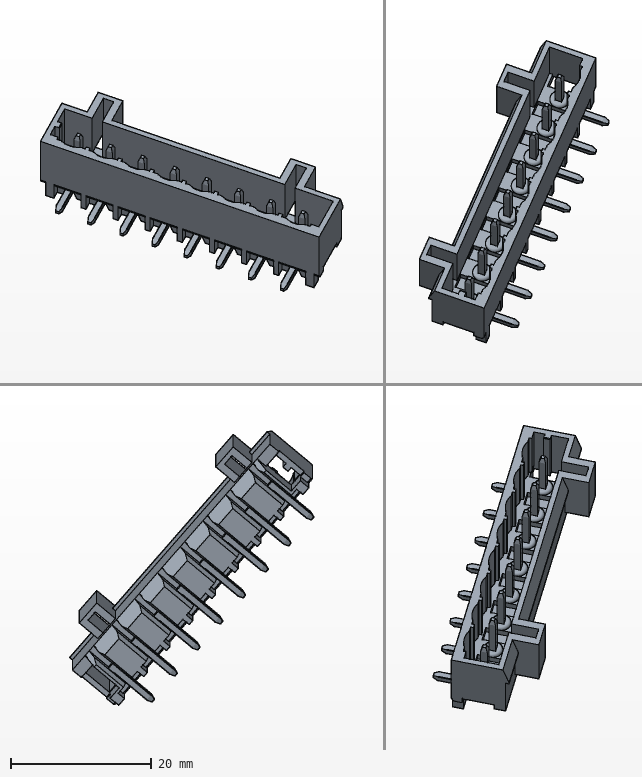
import cadquery as cq


contact_count = 8
pitch = 5.0
last_contact_x = (contact_count - 1) * pitch / 2
contact_xs = [-last_contact_x + i * pitch for i in range(contact_count)]
gap_xs = [x + pitch / 2 for x in contact_xs[:-1]]
contact_y = 3.9

length = 43.4
depth = 8.0
height = 12.0
end_wall = 0.8
end_x = length / 2
inner_end_x = end_x - end_wall

skirt_z = 2.5
bevel_depth = 0.3
bevel_top_z = 3.15
lip_y = 8.5
lip_bottom_z = 9.0
lip_edge_z = 9.3
back_top_y = 7.6
slope_start_y = 6.3

floor_z = 4.0
front_wall = 1.7
relief_wall = 1.3
relief_end_x = last_contact_x + 2.2
divider_width = 0.6
contact_clearance_radius = 3.0
back_wall_inner_y = 6.8

floor_bar_width = 2.8
pocket_length = pitch - floor_bar_width
pocket_front_y = 1.95
pocket_back_y = 6.7
pocket_bottom_z = 3.0
window_front_y = 1.6
window_inner_x = last_contact_x + floor_bar_width / 2
end_notch_z = 3.4

channel_spacing = 6 * pitch
first_channel_x = contact_xs[0] + pitch / 3
channel_xs = [first_channel_x, first_channel_x + channel_spacing]
channel_width = 3.85
channel_slot_width = 1.6
channel_y = 11.5
channel_back_wall = 0.7

recess_width = 4.2
recess_depth = 1.2
flare_width = 1.9
flare_top_z = 1.1

pin_size = 1.0
pin_half = pin_size / 2
tail_z = 2.0
tail_tip_y = -3.6
tail_edge_bevel = 0.08
post_top_z = 11.1
tip_length = 0.8
tip_size = 0.5

collar_diameter = 2.8
collar_height = 0.4

rib_y = 3.8
rib_width = 0.95
rib_projection = 0.7
rib_top_bevel = 0.12


def block(x0, x1, y0, y1, z0, z1):
    size = (x1 - x0, y1 - y0, z1 - z0)
    return cq.Workplane("XY").box(*size, centered=False).translate((x0, y0, z0))


def bar_along_x(yz_outline, x0, x1):
    bar = cq.Workplane("YZ").polyline(yz_outline).close().extrude(x1 - x0)
    return bar.translate((x0, 0, 0))


def make_shell():
    upper = bar_along_x(
        [
            (0, bevel_top_z),
            (bevel_depth, skirt_z),
            (depth, skirt_z),
            (depth, lip_bottom_z),
            (lip_y, lip_bottom_z),
            (lip_y, lip_edge_z),
            (back_top_y, height),
            (0, height),
        ],
        -end_x,
        end_x,
    )
    foot = bar_along_x(
        [(0, 0), (slope_start_y, 0), (depth, skirt_z), (depth, floor_z), (0, floor_z)],
        -inner_end_x,
        inner_end_x,
    )
    shell = upper.union(foot)
    half = channel_width / 2
    for x in channel_xs:
        shell = shell.union(block(x - half, x + half, back_wall_inner_y, channel_y, floor_z, height))
    return shell


def make_cavity():
    cavity = block(-inner_end_x, inner_end_x, front_wall, back_wall_inner_y, floor_z, height)

    relief = block(-relief_end_x, relief_end_x, relief_wall, front_wall, floor_z, height)
    divider_half = divider_width / 2
    for x in gap_xs:
        relief = relief.cut(
            block(x - divider_half, x + divider_half, relief_wall, front_wall, floor_z, height)
        )
    cavity = cavity.union(relief)

    clearance_half = pitch / 2 - divider_width
    for x in contact_xs:
        arc_cut = (
            cq.Workplane("XY", origin=(x, contact_y, floor_z))
            .circle(contact_clearance_radius)
            .extrude(height - floor_z)
        )
        front_part = block(x - clearance_half, x + clearance_half, 0, contact_y, floor_z, height)
        cavity = cavity.union(arc_cut.intersect(front_part))

    slot_half = channel_slot_width / 2
    slot_back_y = channel_y - channel_back_wall
    for x in channel_xs:
        cavity = cavity.union(block(x - slot_half, x + slot_half, contact_y, slot_back_y, floor_z, height))
    return cavity


def make_floor_pocket(x):
    half = pocket_length / 2
    return block(x - half, x + half, pocket_front_y, pocket_back_y, pocket_bottom_z, floor_z)


def make_end_opening(side):
    """Floor window, end wall notch and foot clearance at one end; side is -1 or 1."""
    window = block(window_inner_x, inner_end_x, window_front_y, slope_start_y, 0, floor_z)
    notch = block(window_inner_x, end_x, window_front_y, slope_start_y, 0, end_notch_z)
    foot_clearance = block(window_inner_x, end_x, slope_start_y, depth, 0, skirt_z)
    opening = window.union(notch).union(foot_clearance)
    return opening if side > 0 else opening.mirror("YZ")


def make_pin_recess(x):
    """Recess in the front of the foot with a flared slot running through behind it."""
    recess_half = recess_width / 2
    flare_half = flare_width / 2
    recess = bar_along_x(
        [
            (0, 0),
            (recess_depth, 0),
            (recess_depth, skirt_z),
            (bevel_depth, skirt_z),
            (0, bevel_top_z),
        ],
        x - recess_half,
        x + recess_half,
    )
    slot_outline = [
        (x - flare_half, 0),
        (x - pin_half, flare_top_z),
        (x - pin_half, skirt_z),
        (x + pin_half, skirt_z),
        (x + pin_half, flare_top_z),
        (x + flare_half, 0),
    ]
    slot = cq.Workplane("XZ").polyline(slot_outline).close().extrude(-depth)
    return recess.union(slot)


def make_collar(x):
    return (
        cq.Workplane("XY", origin=(x, contact_y, pocket_bottom_z))
        .circle(collar_diameter / 2)
        .extrude(floor_z + collar_height - pocket_bottom_z)
        .faces(">Z")
        .edges()
        .fillet(collar_height)
    )


def make_coding_rib():
    half = rib_width / 2
    rib = block(0, rib_projection, rib_y - half, rib_y + half, end_notch_z, height)
    rib = rib.edges(">X and >Z").chamfer(rib_top_bevel)
    return rib.translate((-inner_end_x, 0, 0))


def make_tip(plane):
    """Square tip that narrows along the normal of the given plane."""
    return (
        cq.Workplane(plane)
        .rect(pin_size, pin_size)
        .workplane(offset=tip_length)
        .rect(tip_size, tip_size)
        .loft()
    )


def make_housing():
    housing = make_shell().cut(make_cavity())
    for x in gap_xs:
        housing = housing.cut(make_floor_pocket(x))
    for side in (-1, 1):
        housing = housing.cut(make_end_opening(side))
    for x in contact_xs:
        housing = housing.union(make_collar(x)).cut(make_pin_recess(x))
    return housing.union(make_coding_rib())


def make_pin(x):
    """L-shaped contact: a tail pointing to -Y and a post pointing up."""
    left = x - pin_half
    right = x + pin_half
    bottom = tail_z - pin_half
    top = tail_z + pin_half
    front = contact_y - pin_half
    back = contact_y + pin_half
    tail_end_y = tail_tip_y + tip_length
    post_end_z = post_top_z - tip_length

    tail = block(left, right, tail_end_y, back, bottom, top).edges("|Y").chamfer(tail_edge_bevel)
    post = block(left, right, front, back, bottom, post_end_z)
    tail_tip = make_tip(cq.Plane(origin=(x, tail_end_y, tail_z), xDir=(1, 0, 0), normal=(0, -1, 0)))
    post_tip = make_tip(cq.Plane(origin=(x, contact_y, post_end_z), xDir=(1, 0, 0), normal=(0, 0, 1)))
    return tail.union(post).union(tail_tip).union(post_tip)


housing = make_housing()
pins = []
for contact_x in contact_xs:
    pin = make_pin(contact_x)
    housing = housing.cut(pin)
    pins.append(pin.val())

result = cq.Compound.makeCompound([housing.val(), *pins])